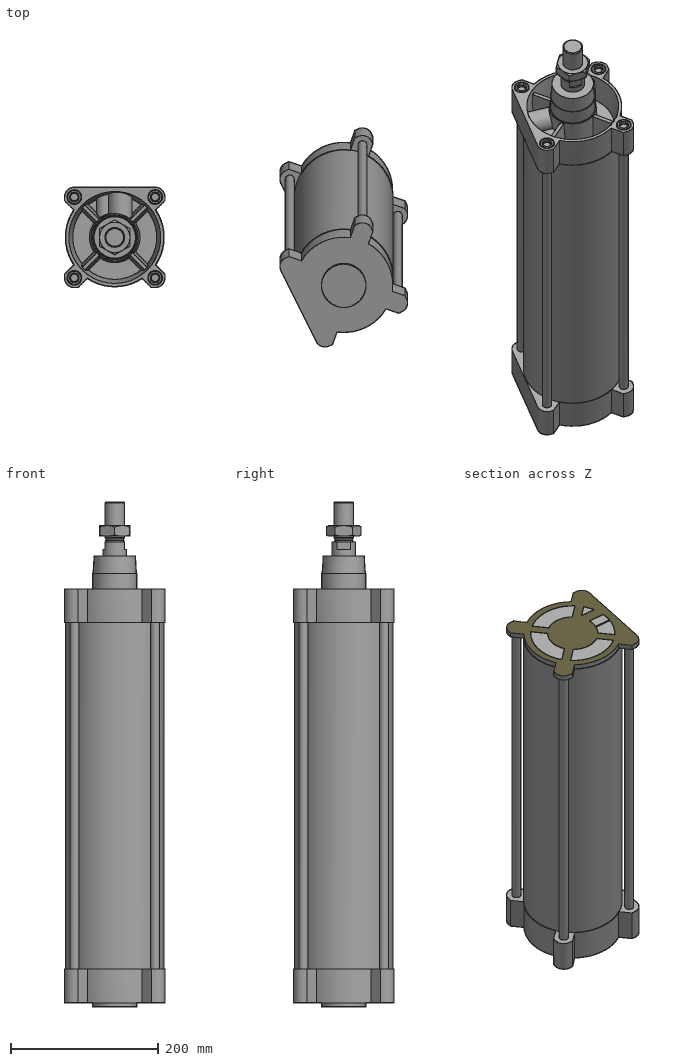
import cadquery as cq
import math

total_height = 685.0

tie_rod_spacing = 109.5
lug_corner_diameter = 27.0
cap_width = tie_rod_spacing + lug_corner_diameter
cap_height = 46.0
drum_diameter = 133.0
lug_width = 26.0
bottom_cap_z = 5.5
top_cap_z = 521.0
top_cap_top_z = top_cap_z + cap_height
bottom_cap_top_z = bottom_cap_z + cap_height
tie_rod_offset = tie_rod_spacing / 2

barrel_diameter = 134.0
tie_rod_diameter = 12.0

recess_diameter = 20.0
head_diameter = 18.0
recess_depth = 5.5
socket_diameter = 10.0
socket_depth = 4.0
socket_mouth_diameter = 13.0

pocket_top_diameter = 125.0
pocket_floor_diameter = 114.0
pocket_depth = 39.0
pocket_floor_z = top_cap_top_z - pocket_depth

hub_top_diameter = 64.0
hub_floor_diameter = 68.5
hub_drop = 1.5
collar_diameter = 60.0
collar_top_z = 588.0
nose_bottom_diameter = 59.0
nose_top_diameter = 56.0
nose_top_z = 612.0

rib_top_width = 5.0
rib_floor_width = 12.0
rib_drop = 3.5

port_diameter = 32.0
port_x = 7.5
port_z = top_cap_z + cap_height / 2
screw_boss_diameter = 20.0
screw_boss_x = -15.0
screw_boss_z = 534.0

rod_diameter = 32.0
flats_width = 27.0
flats_bottom_z = 620.5
rod_shoulder_z = 631.0
neck_diameter = 24.0
neck_ring_diameter = 25.0
neck_ring_height = 2.0
thread_diameter = 27.0
thread_bottom_z = 635.0
rod_bore_depth = 68.5
rod_bottom_z = nose_top_z - rod_bore_depth

nut_across_flats = 41.0
nut_bottom_z = 638.5
nut_height = 14.5
nut_chamfer_angle = 30.0
hexagon_half_sector = 180 / 6


def cylinder(diameter, bottom_z, top_z):
    return cq.Workplane("XY").workplane(offset=bottom_z).circle(diameter / 2).extrude(top_z - bottom_z)


def cone(bottom_diameter, top_diameter, bottom_z, top_z):
    return cq.Workplane(
        cq.Solid.makeCone(bottom_diameter / 2, top_diameter / 2, top_z - bottom_z, cq.Vector(0, 0, bottom_z))
    )


def tie_rod_points():
    return [(x * tie_rod_offset, y * tie_rod_offset) for x in (-1, 1) for y in (-1, 1)]


def cap_blank(bottom_z):
    plane = cq.Workplane("XY").workplane(offset=bottom_z)
    square = plane.rect(cap_width, cap_width).extrude(cap_height).edges("|Z").fillet(lug_corner_diameter / 2)
    outline = plane.circle(drum_diameter / 2).extrude(cap_height)
    for angle in (45, -45):
        diagonal = plane.transformed(rotate=(0, 0, angle))
        outline = outline.union(diagonal.rect(2 * cap_width, lug_width).extrude(cap_height))
    back_plate = (
        plane.center(0, (tie_rod_offset + cap_width / 2) / 2)
        .rect(2 * tie_rod_offset, cap_width / 2 - tie_rod_offset)
        .extrude(cap_height)
    )
    return square.intersect(outline.union(back_plate))


def rib(angle):
    top_z = top_cap_top_z - rib_drop
    length = (pocket_top_diameter + pocket_floor_diameter) / 4
    return (
        cq.Workplane("YZ")
        .polyline(
            [
                (-rib_floor_width / 2, pocket_floor_z),
                (rib_floor_width / 2, pocket_floor_z),
                (rib_top_width / 2, top_z),
                (-rib_top_width / 2, top_z),
            ]
        )
        .close()
        .extrude(length)
        .rotate((0, 0, 0), (0, 0, 1), angle)
    )


def boss_along_y(diameter, x, z):
    return cq.Workplane("XZ", origin=(x, 0, z)).circle(diameter / 2).extrude(-cap_width / 2)


def pocket_insides():
    hub_top_z = top_cap_top_z - hub_drop
    insides = cone(hub_floor_diameter, hub_top_diameter, pocket_floor_z, hub_top_z)
    for angle in (45, 135, 225, 315):
        insides = insides.union(rib(angle))
    insides = insides.union(boss_along_y(port_diameter, port_x, port_z))
    return insides.union(boss_along_y(screw_boss_diameter, screw_boss_x, screw_boss_z))


def screw_recesses():
    plane = cq.Workplane("XY").workplane(offset=top_cap_top_z).pushPoints(tie_rod_points())
    rings = plane.circle(recess_diameter / 2).circle(head_diameter / 2).extrude(-recess_depth)
    sockets = plane.circle(socket_diameter / 2).extrude(-socket_depth)
    recesses = rings.union(sockets)
    mouth_depth = (socket_mouth_diameter - socket_diameter) / 2
    for x, y in tie_rod_points():
        mouth = cone(socket_diameter, socket_mouth_diameter, top_cap_top_z - mouth_depth, top_cap_top_z)
        recesses = recesses.union(mouth.translate((x, y, 0)))
    return recesses


def make_housing():
    pocket = cone(pocket_floor_diameter, pocket_top_diameter, pocket_floor_z, top_cap_top_z)
    top_cap = cap_blank(top_cap_z).cut(pocket.cut(pocket_insides())).cut(screw_recesses())
    barrel = cylinder(barrel_diameter, bottom_cap_top_z, top_cap_z)
    tie_rods = (
        cq.Workplane("XY")
        .workplane(offset=bottom_cap_top_z)
        .pushPoints(tie_rod_points())
        .circle(tie_rod_diameter / 2)
        .extrude(top_cap_z - bottom_cap_top_z)
    )
    return (
        top_cap.union(cap_blank(bottom_cap_z))
        .union(barrel)
        .union(tie_rods)
        .union(cylinder(collar_diameter, 0, bottom_cap_z))
        .union(cylinder(collar_diameter, pocket_floor_z, collar_top_z))
        .union(cone(nose_bottom_diameter, nose_top_diameter, collar_top_z, nose_top_z))
        .cut(cylinder(rod_diameter, rod_bottom_z, nose_top_z))
    )


def make_piston_rod():
    flats_height = rod_shoulder_z - flats_bottom_z
    flats = (
        cq.Workplane("XY")
        .workplane(offset=flats_bottom_z)
        .rect(2 * rod_diameter, 2 * rod_diameter)
        .rect(flats_width, 2 * rod_diameter)
        .extrude(flats_height)
    )
    thread_chamfer = (thread_diameter - neck_diameter) / 2
    thread = cylinder(thread_diameter, thread_bottom_z, total_height).faces("<Z or >Z").chamfer(thread_chamfer)
    return (
        cylinder(rod_diameter, rod_bottom_z, rod_shoulder_z)
        .cut(flats)
        .union(cylinder(neck_diameter, rod_shoulder_z, thread_bottom_z))
        .union(cylinder(neck_ring_diameter, rod_shoulder_z, rod_shoulder_z + neck_ring_height))
        .union(thread)
    )


def make_nut():
    corner_diameter = nut_across_flats / math.cos(math.radians(hexagon_half_sector))
    chamfer_width = (corner_diameter - nut_across_flats) / 2
    chamfer_height = chamfer_width * math.tan(math.radians(nut_chamfer_angle))
    hexagon = (
        cq.Workplane("XY")
        .workplane(offset=nut_bottom_z)
        .transformed(rotate=(0, 0, hexagon_half_sector))
        .polygon(6, corner_diameter)
        .extrude(nut_height)
    )
    chamfered_disc = (
        cylinder(corner_diameter, nut_bottom_z, nut_bottom_z + nut_height)
        .faces("<Z or >Z")
        .chamfer(chamfer_height, chamfer_width)
    )
    bore = cylinder(thread_diameter, nut_bottom_z, nut_bottom_z + nut_height)
    return hexagon.intersect(chamfered_disc).cut(bore)


housing = make_housing()
piston_rod = make_piston_rod()
nut = make_nut()

result = cq.Compound.makeCompound([housing.val(), piston_rod.val(), nut.val()])